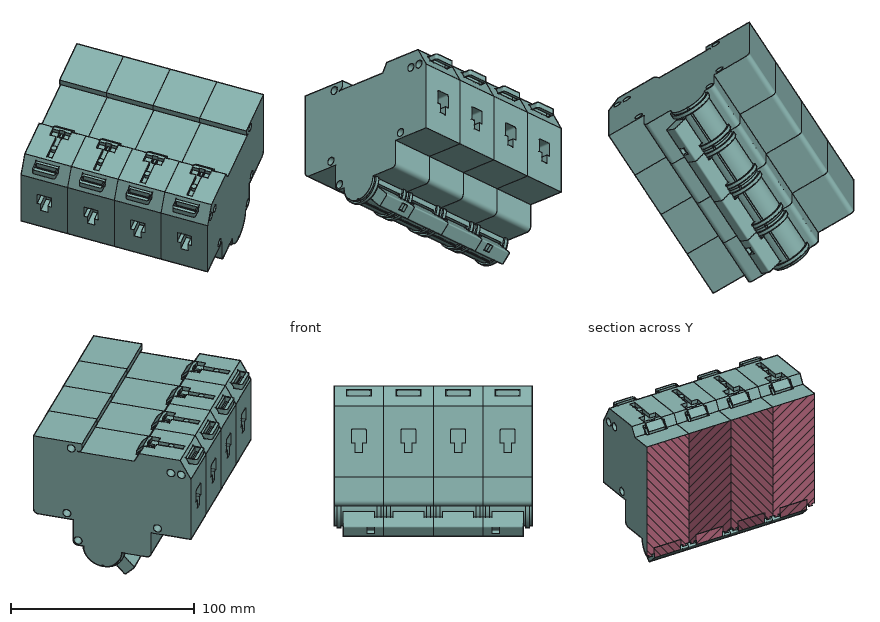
import cadquery as cq
import math


POLES = 4
POLE_WIDTH = 108 / POLES
CENTRE = POLE_WIDTH / 2

REAR_Y = 90.0
TOP_Z = 49.6
CHANNEL_Z = 44.2
OVERHANG_Y = 62.2
OVERHANG_RADIUS = 2.7
CHANNEL_FRONT_Y = 32.4
NOSE_REAR_Y = 29.4
NOSE_FRONT_Y = 6.2
BEVEL_Z = 38.7
FOOT_FRONT_Y = 22.7
FOOT_REAR_Y = 67.3
FOOT_Z = -15.9
EDGE_RADIUS = 2.8

RIVET_DIAMETER = 4.5
RIVET_PLACES = [(68.4, 45.6), (11.5, 40.5), (5.5, 40.5), (70.8, 3.6), (19.1, 3.6), (64.5, -12.7)]

DRUM_Y = 50.4
DRUM_RADIUS = 10.8
COLLAR_RADIUS = 11.9
COLLAR_INSET = 1.5
COLLAR_WIDTH = 2.2
PIN_DIAMETER = 1.1
PIN_Z = -26.5

LEVER_ANGLE = 45
LEVER_HALF_THICKNESS = 3.9
NECK_WIDTH = 17.1
NECK_START = 8.1
BAR_START = 12.3
LEVER_END = 19.9
LEVER_EDGE_RADIUS = 0.9
WINDOW_LENGTH = 4.1
WINDOW_HEIGHT = 4.1
WINDOW_DEPTH = 2.4

KEY_TOP_Z = 26.1
KEY_SHOULDER_Z = 18.5
KEY_BOTTOM_Z = 13.4
KEY_WIDTH = 8.2
KEY_STEM_WIDTH = 4.1
KEY_CORNER_RADIUS = 0.9
KEY_DEPTH = 8.6

TONGUE_WIDTH = 13.2
TONGUE_TIP_Y = -1.3
TONGUE_TOP_Z = 47.2
TONGUE_BOTTOM_Z = 44.1
TONGUE_CORNER_RADIUS = 1.3
EYE_WIDTH = 11.7
EYE_FRONT_Y = 0.6
EYE_REAR_Y = 3.9
TONGUE_SIDE_GAP = 0.2
TONGUE_TOP_GAP = 0.4

LATCH_WIDTH = 10.5
LATCH_REAR_Y = 33.7
LATCH_TOP_Y = 30.0
LATCH_DROP = 0.1
EAR_WIDTH = 1.3
EARS_WIDTH = LATCH_WIDTH + 2 * EAR_WIDTH
EAR_CREST_Y = 31.1
EAR_SIDE_GAP = 0.2
RECESS_REAR_Y = 28.1
RECESS_FRONT_Y = 23.4
RECESS_DEPTH = 2.4
SLOT_WIDTH = 3.1
SLOT_FRONT_Y = 8.3
POST_Y = 15.5
POST_HEIGHT = 2.2
PIT_REAR_Y = 28.6
PIT_DEPTH = 1.1
PIT_RIB_WIDTH = 1.4
PIT_RIB_HEIGHT = 0.5


def box(x_range, y_range, z_range):
    """Axis-aligned block between the given limits."""
    (x0, x1), (y0, y1), (z0, z1) = x_range, y_range, z_range
    return cq.Workplane("XY").box(x1 - x0, y1 - y0, z1 - z0, centered=False).translate((x0, y0, z0))


def centred(width):
    """X limits of a feature of this width in the middle of a pole."""
    return CENTRE - width / 2, CENTRE + width / 2


def side_profile(points, x_range):
    """Prism with a closed (Y, Z) outline between two X limits."""
    x0, x1 = x_range
    return cq.Workplane("YZ", origin=(x0, 0, 0)).polyline(points).close().extrude(x1 - x0)


def cross_cylinder(y, z, radius, x_range):
    """Cylinder along X."""
    x0, x1 = x_range
    return cq.Workplane("YZ", origin=(x0, y, z)).circle(radius).extrude(x1 - x0)


def lever_point(along, across):
    """(Y, Z) of a point given along the lever and across it, upwards positive."""
    cos_a = math.cos(math.radians(LEVER_ANGLE))
    sin_a = math.sin(math.radians(LEVER_ANGLE))
    return DRUM_Y - along * cos_a - across * sin_a, FOOT_Z - along * sin_a + across * cos_a


def lever_block(start, end, bottom, top, x_range):
    """Block aligned with the lever."""
    corners = [(start, bottom), (end, bottom), (end, top), (start, top)]
    return side_profile([lever_point(*corner) for corner in corners], x_range)


def housing_shell():
    """Side outline extruded over one pole, with rounded lower edges."""
    arc_turn = OVERHANG_RADIUS * (1 - math.sqrt(0.5))
    outline = (
        cq.Workplane("YZ")
        .moveTo(0, 0)
        .lineTo(0, BEVEL_Z)
        .lineTo(NOSE_FRONT_Y, TOP_Z)
        .lineTo(NOSE_REAR_Y, TOP_Z)
        .lineTo(CHANNEL_FRONT_Y, CHANNEL_Z)
        .lineTo(OVERHANG_Y + OVERHANG_RADIUS, CHANNEL_Z)
        .threePointArc(
            (OVERHANG_Y + arc_turn, CHANNEL_Z + arc_turn),
            (OVERHANG_Y, CHANNEL_Z + OVERHANG_RADIUS),
        )
        .lineTo(OVERHANG_Y, TOP_Z)
        .lineTo(REAR_Y, TOP_Z)
        .lineTo(REAR_Y, 0)
        .lineTo(FOOT_REAR_Y, 0)
        .lineTo(FOOT_REAR_Y, FOOT_Z)
        .lineTo(FOOT_FRONT_Y, FOOT_Z)
        .lineTo(FOOT_FRONT_Y, 0)
        .close()
    )
    shell = outline.extrude(POLE_WIDTH)
    for y, z in [(REAR_Y, 0), (FOOT_REAR_Y, FOOT_Z), (FOOT_FRONT_Y, FOOT_Z)]:
        edge = cq.selectors.NearestToPointSelector((CENTRE, y, z))
        shell = shell.edges("|X").edges(edge).fillet(EDGE_RADIUS)
    return shell


def drum():
    """Round boss under the foot with a collar near each end."""
    body = cross_cylinder(DRUM_Y, FOOT_Z, DRUM_RADIUS, (0, POLE_WIDTH))
    for start in (COLLAR_INSET, POLE_WIDTH - COLLAR_INSET - COLLAR_WIDTH):
        body = body.union(cross_cylinder(DRUM_Y, FOOT_Z, COLLAR_RADIUS, (start, start + COLLAR_WIDTH)))
    return body


def lever_pocket():
    """Socket for the lever neck in the drum; its roof is level, clear of the tilted neck."""
    roof_rear = lever_point(NECK_START, LEVER_HALF_THICKNESS)
    floor_rear = lever_point(NECK_START, -LEVER_HALF_THICKNESS)
    floor_front = lever_point(BAR_START, -LEVER_HALF_THICKNESS)
    neck_front = lever_point(BAR_START, LEVER_HALF_THICKNESS)
    roof_front = (neck_front[0], roof_rear[1])
    return side_profile([roof_rear, floor_rear, floor_front, neck_front, roof_front], centred(NECK_WIDTH))


def key_opening():
    """Rounded square with a narrow stem below, sunk into the front face."""
    head = box(centred(KEY_WIDTH), (0, KEY_DEPTH), (KEY_SHOULDER_Z, KEY_TOP_Z))
    head = head.edges("|Y and >Z").fillet(KEY_CORNER_RADIUS)
    stem = box(centred(KEY_STEM_WIDTH), (0, KEY_DEPTH), (KEY_BOTTOM_Z, KEY_SHOULDER_Z))
    return head.union(stem)


def tongue():
    """Plate standing forward of the sloped front, rooted inside the housing."""
    plate = box(centred(TONGUE_WIDTH), (TONGUE_TIP_Y, NOSE_FRONT_Y), (TONGUE_BOTTOM_Z, TONGUE_TOP_Z))
    return plate.edges("|Z and <Y").fillet(TONGUE_CORNER_RADIUS)


def tongue_eye():
    """Opening down through the tongue, biting into the slope behind it."""
    return box(centred(EYE_WIDTH), (EYE_FRONT_Y, EYE_REAR_Y), (TONGUE_BOTTOM_Z, TONGUE_TOP_Z))


def tongue_notch():
    """Notch in the sloped front that leaves a narrow gap beside and above the tongue."""
    return box(
        centred(TONGUE_WIDTH + 2 * TONGUE_SIDE_GAP),
        (0, NOSE_FRONT_Y),
        (TONGUE_BOTTOM_Z, TONGUE_TOP_Z + TONGUE_TOP_GAP),
    )


def latch_notch():
    """Notch in the rear slope that leaves a narrow gap beside and above the latch ears."""
    slope = (NOSE_REAR_Y - CHANNEL_FRONT_Y) / (TOP_Z - CHANNEL_Z)
    notch_top = CHANNEL_Z + (LATCH_TOP_Y - CHANNEL_FRONT_Y) / slope
    return box(
        centred(EARS_WIDTH + 2 * EAR_SIDE_GAP),
        (LATCH_TOP_Y, CHANNEL_FRONT_Y),
        (CHANNEL_Z, notch_top),
    )


def latch():
    """Bevelled block on the rear slope with a lower wedge-shaped ear on each side."""
    latch_top = TOP_Z - LATCH_DROP
    rise = LATCH_REAR_Y - LATCH_TOP_Y
    block = side_profile(
        [
            (LATCH_REAR_Y, CHANNEL_Z),
            (LATCH_REAR_Y, latch_top - rise),
            (LATCH_TOP_Y, latch_top),
            (NOSE_REAR_Y, latch_top),
            (NOSE_REAR_Y, CHANNEL_Z),
        ],
        centred(LATCH_WIDTH),
    )
    ear_crest_z = CHANNEL_Z + LATCH_REAR_Y - EAR_CREST_Y
    ears = side_profile(
        [
            (LATCH_REAR_Y, CHANNEL_Z),
            (EAR_CREST_Y, ear_crest_z),
            (LATCH_TOP_Y, ear_crest_z),
            (LATCH_TOP_Y, CHANNEL_Z),
        ],
        centred(EARS_WIDTH),
    )
    return block.union(ears)


def latch_recess():
    """Recess in front of the latch with its guide slot, leaving a round post in the slot."""
    floor_z = TOP_Z - RECESS_DEPTH
    depth = (floor_z, TOP_Z)
    ledge = box(centred(LATCH_WIDTH), (RECESS_REAR_Y, LATCH_TOP_Y), (TOP_Z - LATCH_DROP, TOP_Z))
    recess = box(centred(LATCH_WIDTH), (RECESS_FRONT_Y, RECESS_REAR_Y), depth)
    slot = box(centred(SLOT_WIDTH), (SLOT_FRONT_Y, RECESS_FRONT_Y), depth)
    post = (
        cq.Workplane("XY", origin=(CENTRE, POST_Y, floor_z))
        .circle(SLOT_WIDTH / 2)
        .extrude(POST_HEIGHT)
    )
    pit_y = (PIT_REAR_Y - SLOT_WIDTH, PIT_REAR_Y)
    pit = box(centred(SLOT_WIDTH), pit_y, (floor_z - PIT_DEPTH, TOP_Z))
    rib = box(centred(PIT_RIB_WIDTH), pit_y, (floor_z - PIT_DEPTH, floor_z - PIT_DEPTH + PIT_RIB_HEIGHT))
    return ledge.union(recess).union(slot).cut(post).union(pit).cut(rib)


def make_housing():
    """Housing of one pole, starting at X=0."""
    body = housing_shell().cut(tongue_notch()).cut(latch_notch())
    body = body.union(drum()).union(tongue()).union(latch())
    for cutter in (lever_pocket(), key_opening(), tongue_eye(), latch_recess()):
        body = body.cut(cutter)
    for y, z in RIVET_PLACES:
        body = body.cut(cross_cylinder(y, z, RIVET_DIAMETER / 2, (0, POLE_WIDTH)))
    return body.cut(cross_cylinder(DRUM_Y, PIN_Z, PIN_DIAMETER / 2, (0, POLE_WIDTH)))


def lever_window(x_range):
    """Blind slot in the outer face of the lever bar, starting below its rounded edge."""
    top = LEVER_HALF_THICKNESS - LEVER_EDGE_RADIUS
    return lever_block(LEVER_END - WINDOW_DEPTH, LEVER_END, top - WINDOW_HEIGHT, top, x_range)


def make_lever(pole):
    """Lever of one pole: neck and tie bar, the bar cut back to the neck at the ends of the row."""
    neck_left, neck_right = centred(NECK_WIDTH)
    first = pole == 0
    last = pole == POLES - 1
    bar_x = (neck_left if first else 0, neck_right if last else POLE_WIDTH)
    half = LEVER_HALF_THICKNESS
    bar = lever_block(BAR_START, LEVER_END, -half, half, bar_x)
    for side in (-half, half):
        tip_edge = cq.selectors.NearestToPointSelector((sum(bar_x) / 2, *lever_point(LEVER_END, side)))
        bar = bar.edges("|X").edges(tip_edge).fillet(LEVER_EDGE_RADIUS)
    neck = lever_block(NECK_START, BAR_START, -half, half, (neck_left, neck_right))
    lever = bar.union(neck)
    if first:
        lever = lever.cut(lever_window((neck_right - WINDOW_LENGTH, neck_right)))
    if last:
        lever = lever.cut(lever_window((neck_left, neck_left + WINDOW_LENGTH)))
    return lever


housing = make_housing()
housings = [housing.translate((pole * POLE_WIDTH, 0, 0)) for pole in range(POLES)]
levers = [make_lever(pole).translate((pole * POLE_WIDTH, 0, 0)) for pole in range(POLES)]

result = cq.Compound.makeCompound([body.solids().val() for body in housings + levers])